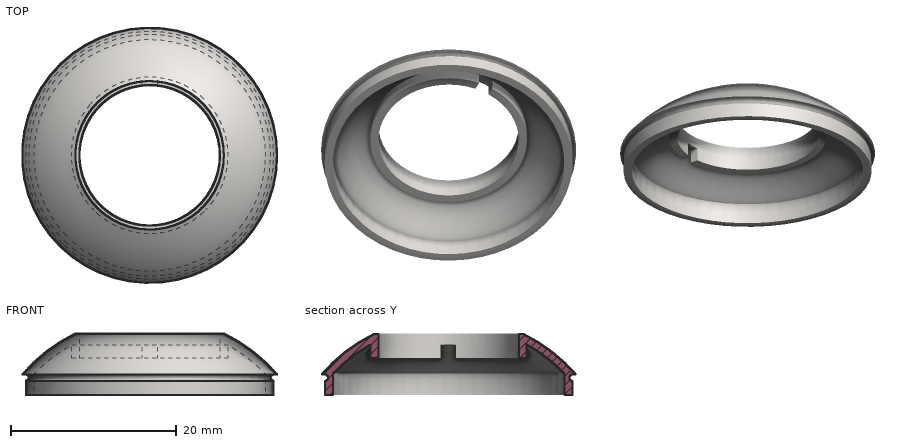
import cadquery as cq
import math

outer_radius = 15.42
height = 7.45
wall = 1.0
bore_radius = 8.48
top_radius = 8.98
skirt_radius = 15.0
skirt_height = 1.73
groove_radius = 0.37
hub_bottom = 4.47
slot_width = 1.85

dome_base = skirt_height + 2 * groove_radius
hub_radius = bore_radius + wall
cavity_radius = skirt_radius - wall

dome_center = (height**2 + top_radius**2 - dome_base**2 - outer_radius**2) / (2 * (height - dome_base))
dome_radius = math.hypot(outer_radius, dome_base - dome_center)
ceiling_radius = dome_radius - wall


def sphere_point(sphere_radius, r):
    """Point (r, z) on the upper half of a sphere sharing the dome's center."""
    return r, dome_center + math.sqrt(sphere_radius**2 - r**2)


def make_shell():
    """Revolved section: grooved skirt, domed shell and the hub tube hanging from it."""
    dome_middle = sphere_point(dome_radius, (outer_radius + top_radius) / 2)
    ceiling_middle = sphere_point(ceiling_radius, (hub_radius + cavity_radius) / 2)
    groove_bottom = (skirt_radius - groove_radius, skirt_height + groove_radius)
    section = (
        cq.Workplane("XZ")
        .moveTo(cavity_radius, 0)
        .lineTo(skirt_radius, 0)
        .lineTo(skirt_radius, skirt_height)
        .threePointArc(groove_bottom, (skirt_radius, dome_base))
        .lineTo(outer_radius, dome_base)
        .threePointArc(dome_middle, (top_radius, height))
        .lineTo(bore_radius, height)
        .lineTo(bore_radius, hub_bottom)
        .lineTo(hub_radius, hub_bottom)
        .lineTo(*sphere_point(ceiling_radius, hub_radius))
        .threePointArc(ceiling_middle, sphere_point(ceiling_radius, cavity_radius))
        .close()
    )
    return section.revolve(360, (0, 0, 0), (0, 1, 0))


def make_hub_slot():
    """Cutter for the slot through the +Y side of the hub, up to the dome's ceiling."""
    slot_top = sphere_point(ceiling_radius, hub_radius)[1]
    return cq.Workplane("XY").box(
        slot_width, hub_radius, slot_top - hub_bottom, centered=(True, False, False)
    ).translate((0, 0, hub_bottom))


result = make_shell().cut(make_hub_slot())